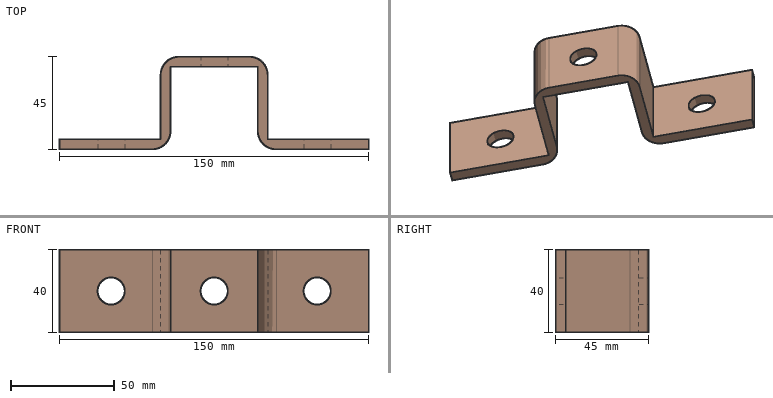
import cadquery as cq

length = 150.0
depth = 45.0
height = 40.0

thickness = 5.0
hat_width = 52.0
bend_radius = 9.0

hole_diameter = 13.0
flange_hole_offset = 50.0

hat_outer_x = hat_width / 2
hat_inner_x = hat_outer_x - thickness


def bent_strip():
    """Hat profile in the XY plane, extruded upward along Z."""
    right_half = [
        (hat_outer_x, depth),
        (hat_outer_x, thickness),
        (length / 2, thickness),
        (length / 2, 0),
        (hat_inner_x, 0),
        (hat_inner_x, depth - thickness),
    ]
    left_half = [(-x, y) for x, y in reversed(right_half)]
    return cq.Workplane("XY").polyline(right_half + left_half).close().extrude(height)


def round_bends(strip):
    """Round the convex outside edge of all four bends."""
    bend_corners = [
        (side * x, y)
        for side in (-1, 1)
        for x, y in ((hat_outer_x, depth), (hat_inner_x, 0))
    ]
    for x, y in bend_corners:
        corner = cq.selectors.NearestToPointSelector((x, y, height / 2))
        strip = strip.edges("|Z").edges(corner).fillet(bend_radius)
    return strip


def hole_cutters():
    """Three cylinders along Y, centred on the strip height."""
    centers = [(x, height / 2) for x in (-flange_hole_offset, 0, flange_hole_offset)]
    return cq.Workplane("XZ").pushPoints(centers).circle(hole_diameter / 2).extrude(-depth)


result = round_bends(bent_strip()).cut(hole_cutters())